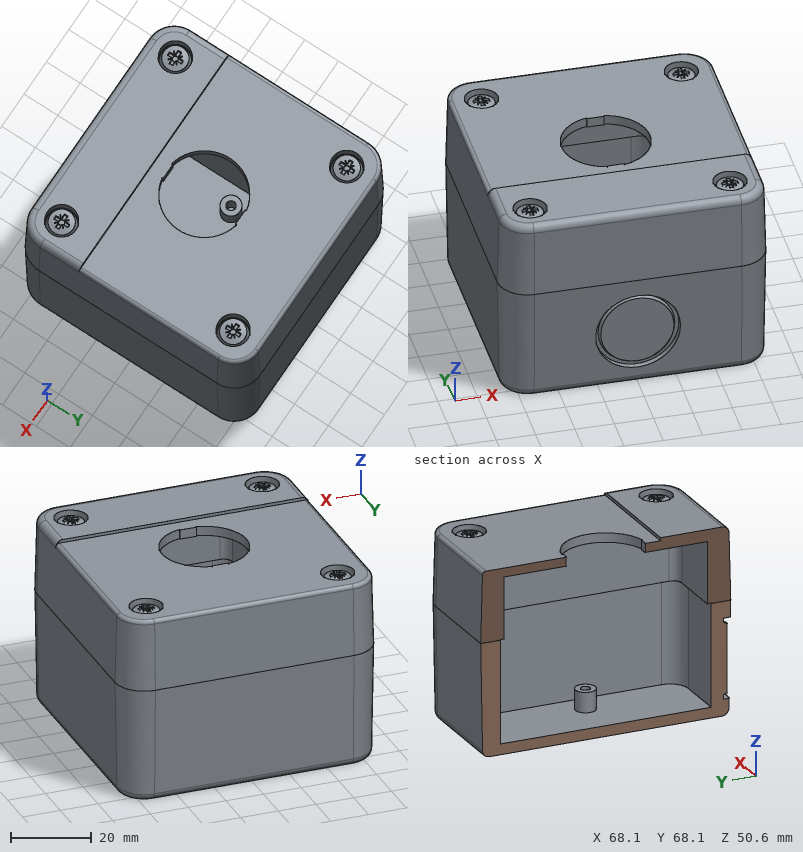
import cadquery as cq
import math

width = 68.1
corner_radius = 7.7
base_height = 30.7
lid_top = 49.75
strip_top = 50.6
base_draft = 1.0
lid_draft = 1.5
rim_round = 2.0
lid_round = 1.0
strip_edge_y = -14.85

lid_cavity_width = 34.7
lid_cavity_length = 55.15
lid_cavity_radius = 2.4
cavity_step = 1.0
base_cavity_radius = 5.0
floor_thickness = 3.0
lid_plate = 2.5

opening_diameter = 22.45
tab_distance = 10.7
tab_width = 4.35
tab_length = opening_diameter / 2

standoff_offset = 12.0
standoff_diameter = 5.45
standoff_height = 5.45
pilot_diameter = 2.5

knockout_z = 15.3
knockout_diameter = 21.5
knockout_depth = 2.0
disc_root_diameter = 19.5
disc_face_diameter = 18.6
disc_height = 0.95

screw_offset = 25.4
recess_diameter = 8.45
head_diameter = 8.0
head_rim_diameter = 6.75
head_seat_depth = 3.0
head_rim_depth = 1.1
head_crown_depth = 0.35
shank_diameter = 4.0
shank_end_z = 23.8
cross_length = 4.0
cross_width = 0.95
cross_depth = 1.5
star_length = 3.6
star_width = 0.2
star_depth = 0.8
socket_mouth_diameter = 1.8
socket_floor_diameter = 1.5
socket_depth = 1.8

screw_places = [
    (x, y, strip_top if y < strip_edge_y else lid_top)
    for x in (-screw_offset, screw_offset)
    for y in (-screw_offset, screw_offset)
]


def rounded_prism(size_x, size_y, radius, height, draft=0):
    """Prism on Z = 0 with rounded corners; a negative height grows downwards."""
    outline = cq.Sketch().rect(size_x, size_y).vertices().fillet(radius)
    return cq.Workplane("XY").placeSketch(outline).extrude(height, taper=draft)


def upright_cylinder(x, y, bottom_z, top_z, diameter):
    return cq.Workplane("XY", origin=(x, y, bottom_z)).circle(diameter / 2).extrude(top_z - bottom_z)


def knockout_groove():
    """Recess holding a raised disc with a sloping edge, as the material to remove."""
    floor_y = knockout_depth - width / 2
    plane = cq.Workplane("XZ", origin=(0, floor_y, knockout_z))
    recess = plane.circle(knockout_diameter / 2).extrude(2 * knockout_depth)
    edge_slope = math.degrees(math.atan((disc_root_diameter - disc_face_diameter) / 2 / disc_height))
    disc = plane.circle(disc_root_diameter / 2).extrude(disc_height, taper=edge_slope)
    return recess.cut(disc)


def make_base():
    base = rounded_prism(width, width, corner_radius, -base_height, base_draft)
    base = base.translate((0, 0, base_height)).faces("<Z").edges().fillet(rim_round)
    cavity = rounded_prism(
        lid_cavity_width + 2 * cavity_step,
        lid_cavity_length + 2 * cavity_step,
        base_cavity_radius,
        base_height - floor_thickness,
    )
    base = base.cut(cavity.translate((0, 0, floor_thickness)))
    standoff_top = floor_thickness + standoff_height
    for x in (-standoff_offset, standoff_offset):
        base = base.union(upright_cylinder(x, 0, floor_thickness, standoff_top, standoff_diameter))
        base = base.cut(upright_cylinder(x, 0, floor_thickness, standoff_top, pilot_diameter))
    base = base.cut(knockout_groove())
    for x, y, _ in screw_places:
        base = base.cut(upright_cylinder(x, y, shank_end_z, base_height, shank_diameter))
    return base


def lid_block(top_z, edge_round):
    """Solid drafted lid shape with a rounded top edge, standing on the parting plane."""
    block = rounded_prism(width, width, corner_radius, top_z - base_height, lid_draft)
    return block.faces(">Z").edges().fillet(edge_round).translate((0, 0, base_height))


def operator_opening():
    """Round opening with two opposite flat-faced tabs, as the material to remove."""
    opening = upright_cylinder(0, 0, base_height, strip_top, opening_diameter)
    for side in (-1, 1):
        tab = cq.Workplane("XY").box(tab_width, tab_length, 2 * strip_top)
        opening = opening.cut(tab.translate((0, side * (tab_distance + tab_length / 2), 0)))
    return opening


def make_lid():
    strip_zone = cq.Workplane("XY").box(2 * width, width, 2 * strip_top)
    strip_zone = strip_zone.translate((0, strip_edge_y - width / 2, 0))
    strip = lid_block(strip_top, rim_round).intersect(strip_zone)
    lid = lid_block(lid_top, lid_round).cut(strip_zone).union(strip)
    cavity_height = lid_top - lid_plate - base_height
    cavity = rounded_prism(lid_cavity_width, lid_cavity_length, lid_cavity_radius, cavity_height)
    lid = lid.cut(cavity.translate((0, 0, base_height))).cut(operator_opening())
    for x, y, surface_z in screw_places:
        lid = lid.cut(upright_cylinder(x, y, surface_z - head_seat_depth, surface_z, recess_diameter))
        lid = lid.cut(upright_cylinder(x, y, base_height, surface_z, shank_diameter))
    return lid


def drive_recess(surface_z):
    """Cross with a tapering round socket and a shallow diagonal star."""
    recess = (
        cq.Workplane("XY", origin=(0, 0, surface_z - socket_depth))
        .circle(socket_floor_diameter / 2)
        .workplane(offset=socket_depth)
        .circle(socket_mouth_diameter / 2)
        .loft(ruled=True)
    )
    for length, slot_width, depth, angles in (
        (cross_length, cross_width, cross_depth, (0, 90)),
        (star_length, star_width, star_depth, (45, 135)),
    ):
        slot = cq.Workplane("XY").box(length, slot_width, depth).translate((0, 0, surface_z - depth / 2))
        for angle in angles:
            recess = recess.union(slot.rotate((0, 0, 0), (0, 0, 1), angle))
    return recess


def make_screw(x, y, surface_z):
    rim_radius = head_rim_diameter / 2
    rim_z = surface_z - head_rim_depth
    crown_z = surface_z - head_crown_depth
    seat_z = surface_z - head_seat_depth
    crown_sag = crown_z - rim_z
    crown_radius = (rim_radius**2 + crown_sag**2) / (2 * crown_sag)
    half_chord = rim_radius / 2
    arc_middle = (half_chord, crown_z - crown_radius + math.sqrt(crown_radius**2 - half_chord**2))
    screw = (
        cq.Workplane("XZ")
        .moveTo(0, shank_end_z)
        .lineTo(shank_diameter / 2, shank_end_z)
        .lineTo(shank_diameter / 2, seat_z)
        .lineTo(head_diameter / 2, seat_z)
        .lineTo(rim_radius, rim_z)
        .threePointArc(arc_middle, (0, crown_z))
        .close()
        .revolve(360, (0, 0, 0), (0, 1, 0))
    )
    return screw.cut(drive_recess(surface_z)).translate((x, y, 0))


base = make_base()
lid = make_lid()
screws = [make_screw(*place) for place in screw_places]

result = cq.Compound.makeCompound([base.val(), lid.val(), *[screw.val() for screw in screws]])